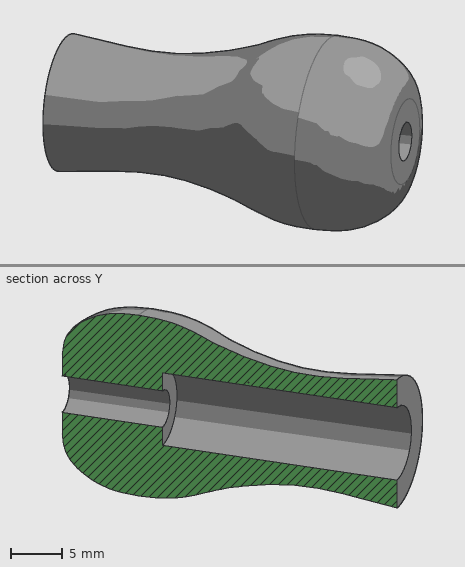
import cadquery as cq

length = 35.0
collar_radius = 6.75
waist_x = 10.85
waist_radius = 6.0
flank_x = 19.25
flank_radius = 7.85
belly_x = 26.95
belly_radius = 9.52
shoulder_x = 33.0
shoulder_radius = 7.88
end_flat_radius = 4.2

collar_direction = (1, -0.1)
axial_direction = (1, 0)
inward_direction = (0, -1)

bore_diameter = 7.55
bore_depth = 24.5
through_diameter = 3.78


def handle_body():
    """Revolve the waisted outline, ending in a rounded belly with a flat face."""
    outline = (
        cq.Workplane("XY")
        .lineTo(0, collar_radius)
        .spline(
            [(waist_x, waist_radius), (flank_x, flank_radius), (belly_x, belly_radius)],
            tangents=[collar_direction, axial_direction],
            includeCurrent=True,
        )
        .spline(
            [(shoulder_x, shoulder_radius), (length, end_flat_radius)],
            tangents=[axial_direction, inward_direction],
            includeCurrent=True,
        )
        .lineTo(length, 0)
        .close()
    )
    return outline.revolve(360, (0, 0, 0), (1, 0, 0))


def axial_hole(diameter, depth):
    """Cylinder cut inward from the collar face."""
    return cq.Workplane("YZ").circle(diameter / 2).extrude(depth)


result = (
    handle_body()
    .cut(axial_hole(bore_diameter, bore_depth))
    .cut(axial_hole(through_diameter, length))
)